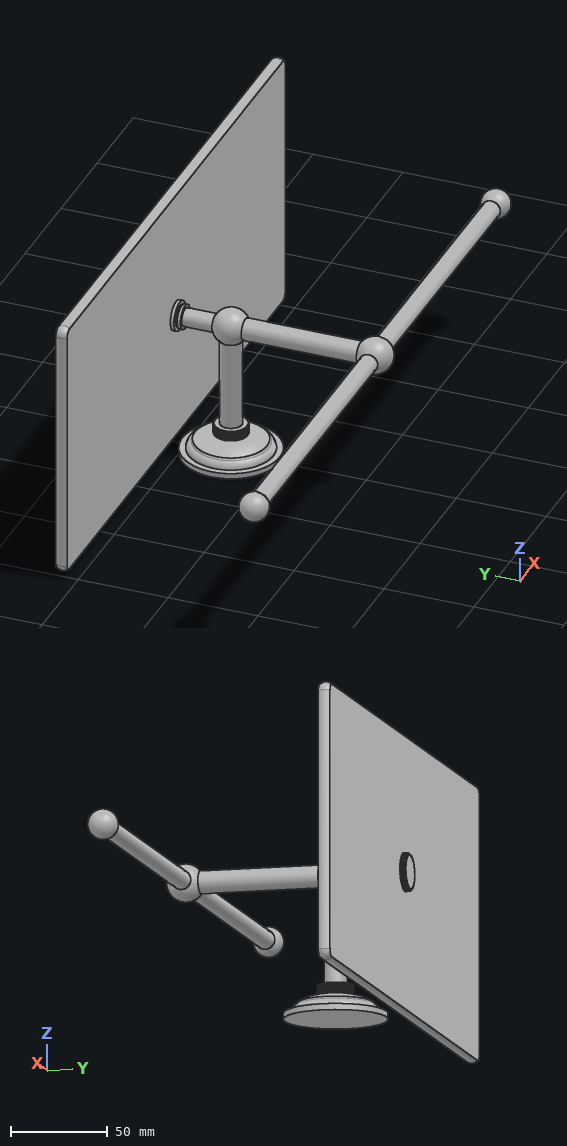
import cadquery as cq
import math

AXIS_HEIGHT = 75.5
BAR_OFFSET = 80.0

OVERALL_WIDTH = 350.9
BAR_RADIUS = 5.0
END_BALL_RADIUS = 8.0

POST_RADIUS = 6.0
ARM_RADIUS = 6.0
REAR_ARM_RADIUS = 5.0
JOINT_BALL_RADIUS = 10.0

PLATE_WIDTH = 305.0
PLATE_TOP = 148.49
PLATE_HEIGHT = 2 * (PLATE_TOP - AXIS_HEIGHT)
PLATE_THICKNESS = 6.35
PLATE_FRONT = 30.5
PLATE_BACK = PLATE_FRONT + PLATE_THICKNESS
PLATE_CORNER_RADIUS = 5.0
PLATE_EDGE_BULGE = 1.3
RIM_OVERLAP = 1.0

OVERALL_DEPTH = 129.86
NUT_BACK = OVERALL_DEPTH - BAR_OFFSET - JOINT_BALL_RADIUS
NUT_RADIUS = 10.0
NUT_CHAMFER = 1.0
WASHER_RADIUS = 8.2
WASHER_THICKNESS = 2.0
MOUNT_NECK_RADIUS = 6.1
MOUNT_NECK_LENGTH = 1.0
MOUNT_COLLAR_RADIUS = 6.7
MOUNT_COLLAR_LENGTH = 2.0

FLANGE_RADIUS = 27.1
FLANGE_HEIGHT = 3.2
SKIRT_BOTTOM_RADIUS = 23.5
SKIRT_TOP_RADIUS = 20.8
SKIRT_TOP = 7.4
SKIRT_BULGE = 0.6
DOME_EDGE_RADIUS = 20.0
DOME_EDGE_HEIGHT = 8.4
DOME_TOP = 12.2
DOME_BULGE = 0.9

COLLAR_RADIUS = 9.4
COLLAR_TOP = 17.9
COLLAR_CHAMFER = 0.4

KNURL_DEPTH = 0.5
KNURL_COUNT = 48


def rod(radius, start, end):
    """Round rod from one point to another."""
    direction = cq.Vector(*end) - cq.Vector(*start)
    solid = cq.Solid.makeCylinder(radius, direction.Length, cq.Vector(*start), direction)
    return cq.Workplane(obj=solid)


def ball(radius, center):
    return cq.Workplane().sphere(radius).translate(center)


def knurled_disc(radius, height):
    """Disc on the XY plane with V-shaped grooves around its rim."""
    points = []
    for index in range(2 * KNURL_COUNT):
        angle = math.pi * index / KNURL_COUNT
        reach = radius - KNURL_DEPTH * (index % 2)
        points.append((reach * math.cos(angle), reach * math.sin(angle)))
    return cq.Workplane().polyline(points).close().extrude(height)


def bulged_midpoint(start, end, bulge):
    """Middle of a chord pushed outward and up by the given bulge."""
    run = start[0] - end[0]
    rise = end[1] - start[1]
    chord = math.hypot(run, rise)
    middle_radius = (start[0] + end[0]) / 2 + bulge * rise / chord
    middle_height = (start[1] + end[1]) / 2 + bulge * run / chord
    return (middle_radius, middle_height)


def make_base():
    skirt_bottom = (SKIRT_BOTTOM_RADIUS, FLANGE_HEIGHT)
    skirt_top = (SKIRT_TOP_RADIUS, SKIRT_TOP)
    dome_edge = (DOME_EDGE_RADIUS, DOME_EDGE_HEIGHT)
    dome_top = (COLLAR_RADIUS - KNURL_DEPTH, DOME_TOP)
    profile = (
        cq.Workplane("XZ")
        .lineTo(FLANGE_RADIUS, 0)
        .lineTo(FLANGE_RADIUS, FLANGE_HEIGHT)
        .lineTo(*skirt_bottom)
        .threePointArc(bulged_midpoint(skirt_bottom, skirt_top, SKIRT_BULGE), skirt_top)
        .lineTo(*dome_edge)
        .threePointArc(bulged_midpoint(dome_edge, dome_top, DOME_BULGE), dome_top)
        .lineTo(0, DOME_TOP)
        .close()
    )
    base = profile.revolve(360, (0, 0, 0), (0, 1, 0))
    collar_height = COLLAR_TOP - DOME_TOP
    collar_envelope = cq.Workplane().circle(COLLAR_RADIUS).extrude(collar_height)
    collar_envelope = collar_envelope.faces(">Z or <Z").chamfer(COLLAR_CHAMFER)
    collar = knurled_disc(COLLAR_RADIUS, collar_height).intersect(collar_envelope)
    return base.union(collar.translate((0, 0, DOME_TOP)))


def make_frame():
    """Post, arm, joint balls and cross bar with its end balls."""
    post_joint = (0, 0, AXIS_HEIGHT)
    bar_joint = (0, -BAR_OFFSET, AXIS_HEIGHT)
    end_x = OVERALL_WIDTH / 2 - END_BALL_RADIUS
    left_end = (-end_x, -BAR_OFFSET, AXIS_HEIGHT)
    right_end = (end_x, -BAR_OFFSET, AXIS_HEIGHT)
    frame = rod(POST_RADIUS, (0, 0, DOME_TOP), post_joint)
    frame = frame.union(rod(ARM_RADIUS, bar_joint, post_joint))
    frame = frame.union(rod(REAR_ARM_RADIUS, post_joint, (0, PLATE_BACK, AXIS_HEIGHT)))
    frame = frame.union(rod(BAR_RADIUS, left_end, right_end))
    for joint in (post_joint, bar_joint):
        frame = frame.union(ball(JOINT_BALL_RADIUS, joint))
    for end in (left_end, right_end):
        frame = frame.union(ball(END_BALL_RADIUS, end))
    return frame


def make_plate():
    """Plate with rounded corners and a rim that bulges outward all around."""
    flat_width = PLATE_WIDTH - 2 * PLATE_EDGE_BULGE
    flat_height = PLATE_HEIGHT - 2 * PLATE_EDGE_BULGE
    flat_corner_radius = PLATE_CORNER_RADIUS - PLATE_EDGE_BULGE
    core = cq.Workplane().box(flat_width, PLATE_THICKNESS, flat_height)
    core = core.edges("|Y").fillet(flat_corner_radius)

    outline = core.faces("<Y").wires().val()
    half_thickness = PLATE_THICKNESS / 2
    rim = (
        cq.Workplane("XY", origin=(flat_width / 2, 0, 0))
        .moveTo(-RIM_OVERLAP, -half_thickness)
        .lineTo(0, -half_thickness)
        .threePointArc((PLATE_EDGE_BULGE, 0), (0, half_thickness))
        .lineTo(-RIM_OVERLAP, half_thickness)
        .close()
        .sweep(cq.Workplane(obj=outline))
    )
    return core.union(rim).translate((0, PLATE_FRONT + half_thickness, AXIS_HEIGHT))


def make_mounting():
    """Washer, neck and collar in front of the plate, knurled nut behind it."""
    washer_front = PLATE_FRONT - WASHER_THICKNESS
    neck_front = washer_front - MOUNT_NECK_LENGTH
    collar_front = neck_front - MOUNT_COLLAR_LENGTH
    plate_center = (0, PLATE_FRONT, AXIS_HEIGHT)
    neck_center = (0, neck_front, AXIS_HEIGHT)
    washer = rod(WASHER_RADIUS, (0, washer_front, AXIS_HEIGHT), plate_center)
    neck = rod(MOUNT_NECK_RADIUS, neck_center, plate_center)
    collar = rod(MOUNT_COLLAR_RADIUS, (0, collar_front, AXIS_HEIGHT), neck_center)
    nut_length = NUT_BACK - PLATE_BACK
    nut_envelope = cq.Workplane().circle(NUT_RADIUS).extrude(nut_length).faces(">Z").chamfer(NUT_CHAMFER)
    nut = knurled_disc(NUT_RADIUS, nut_length).intersect(nut_envelope)
    nut = nut.rotate((0, 0, 0), (1, 0, 0), -90).translate((0, PLATE_BACK, AXIS_HEIGHT))
    return washer.union(neck).union(collar).union(nut)


result = make_base().union(make_frame()).union(make_plate()).union(make_mounting())